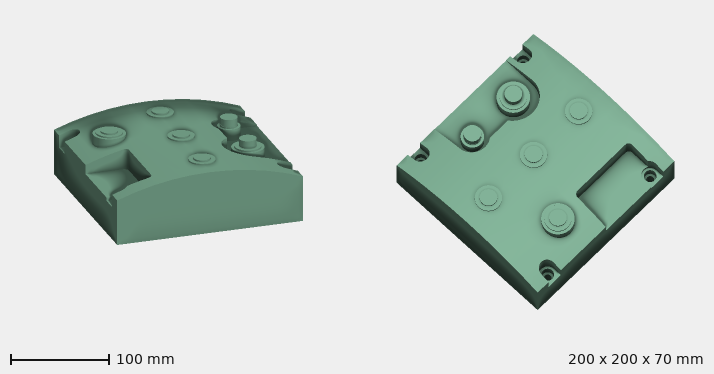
import cadquery as cq
import math

side = 200.0
half_side = side / 2
overall_height = 70.0

base_height = 29.0
eave_height = 49.0
crown_height = 67.0

screw_x = 75.0
screw_y = 90.0
seat_width = 18.0
seat_floor = 35.5
screw_head_diameter = 13.0
screw_head_depth = 10.0
screw_hole_diameter = 8.0
screw_head_floor = seat_floor - screw_head_depth

recess_width = 80.0
recess_center_x = 39.8
recess_depth = 45.0
recess_floor = 39.0
recess_corner_radius = 5.0

button_diameter = 18.0
flange_diameter = 28.0
flange_top = 68.3
flange_bottom = 66.7
flange_thickness = flange_top - flange_bottom
middle_button_spacing = 66.0
middle_row_y = 2.8

outer_row_y = 63.4
large_boss_diameter = 34.2
small_boss_diameter = 24.0
collar_diameter = 18.3
front_boss_x = -32.6
rear_large_boss_x = 33.0
rear_small_boss_x = -27.0
rear_boss_top = 60.5
rear_flange_top = rear_boss_top + flange_thickness

rear_pocket_floor = 48.0
rear_large_clearance = 27.0
rear_small_clearance = 18.0
rear_pocket_edge_y = 49.0

device_root = 40.0


def cylinder(x, y, diameter, bottom, top):
    return cq.Workplane("XY", origin=(x, y, bottom)).circle(diameter / 2).extrude(top - bottom)


def screw_positions():
    return [(x, y) for x in (-screw_x, screw_x) for y in (-screw_y, screw_y)]


def make_base():
    block = cq.Workplane("XY").box(side, side, base_height, centered=(True, True, False))
    for x, y in screw_positions():
        block = block.cut(cylinder(x, y, screw_hole_diameter, 0, base_height))
        block = block.cut(cylinder(x, y, screw_head_diameter, screw_head_floor, base_height))
    return block


def make_domed_block():
    return (
        cq.Workplane("YZ", origin=(-half_side, 0, 0))
        .moveTo(-half_side, base_height)
        .lineTo(half_side, base_height)
        .lineTo(half_side, eave_height)
        .threePointArc((0, crown_height), (-half_side, eave_height))
        .close()
        .extrude(side)
    )


def make_rear_pocket():
    height = overall_height - rear_pocket_floor
    left = rear_small_boss_x - rear_small_clearance
    right = rear_large_boss_x + rear_large_clearance
    pocket = (
        cq.Workplane("XY", origin=(0, 0, rear_pocket_floor))
        .moveTo(left, outer_row_y)
        .lineTo(rear_small_boss_x, outer_row_y)
        .lineTo(rear_small_boss_x, rear_pocket_edge_y)
        .lineTo(rear_large_boss_x, rear_pocket_edge_y)
        .lineTo(rear_large_boss_x, outer_row_y)
        .lineTo(right, outer_row_y)
        .lineTo(right, half_side)
        .lineTo(left, half_side)
        .close()
        .extrude(height)
    )
    for x, radius in (
        (rear_small_boss_x, rear_small_clearance),
        (rear_large_boss_x, rear_large_clearance),
    ):
        pocket = pocket.union(cylinder(x, outer_row_y, 2 * radius, rear_pocket_floor, overall_height))
    return pocket


def make_front_recess():
    return (
        cq.Workplane("XY", origin=(recess_center_x, recess_depth / 2 - half_side, recess_floor))
        .rect(recess_width, recess_depth)
        .extrude(overall_height - recess_floor)
        .edges("|Z and >Y")
        .fillet(recess_corner_radius)
    )


def make_screw_seat(x, y):
    """Slot open to the nearest Y side, with the screw head hole running down to the base."""
    outer_edge = math.copysign(half_side, y)
    slot = (
        cq.Workplane("XY", origin=(x, (y + outer_edge) / 2, seat_floor))
        .rect(seat_width, abs(outer_edge - y))
        .extrude(overall_height - seat_floor)
    )
    return (
        slot.union(cylinder(x, y, seat_width, seat_floor, overall_height))
        .union(cylinder(x, y, screw_head_diameter, base_height, overall_height))
    )


def make_device(x, y, boss, flange):
    """Boss, flange and button stacked on one axis; boss and flange are (diameter, top) pairs."""
    device = cylinder(x, y, button_diameter, device_root, overall_height)
    for diameter, top in (boss, flange):
        device = device.union(cylinder(x, y, diameter, device_root, top))
    return device


def make_cover():
    cover = make_domed_block().cut(make_rear_pocket()).cut(make_front_recess())
    for x, y in screw_positions():
        cover = cover.cut(make_screw_seat(x, y))

    front_device = make_device(
        front_boss_x,
        -outer_row_y,
        boss=(large_boss_diameter, flange_bottom),
        flange=(flange_diameter, flange_top),
    )
    rear_large_device = make_device(
        rear_large_boss_x,
        outer_row_y,
        boss=(large_boss_diameter, rear_boss_top),
        flange=(flange_diameter, rear_flange_top),
    )
    rear_small_device = make_device(
        rear_small_boss_x,
        outer_row_y,
        boss=(small_boss_diameter, rear_boss_top),
        flange=(collar_diameter, rear_flange_top),
    )
    return cover.union(front_device).union(rear_large_device).union(rear_small_device)


def make_middle_button(x, cover):
    """Flanged button whose underside follows the dome it rests on."""
    flange = cylinder(x, middle_row_y, flange_diameter, device_root, flange_top)
    cap = cylinder(x, middle_row_y, button_diameter, device_root, overall_height)
    return flange.union(cap).cut(cover)


base = make_base()
cover = make_cover()
buttons = [make_middle_button(step * middle_button_spacing, cover) for step in (-1, 0, 1)]
solids = [body.solids().val() for body in (base, cover, *buttons)]
result = cq.Compound.makeCompound(solids)